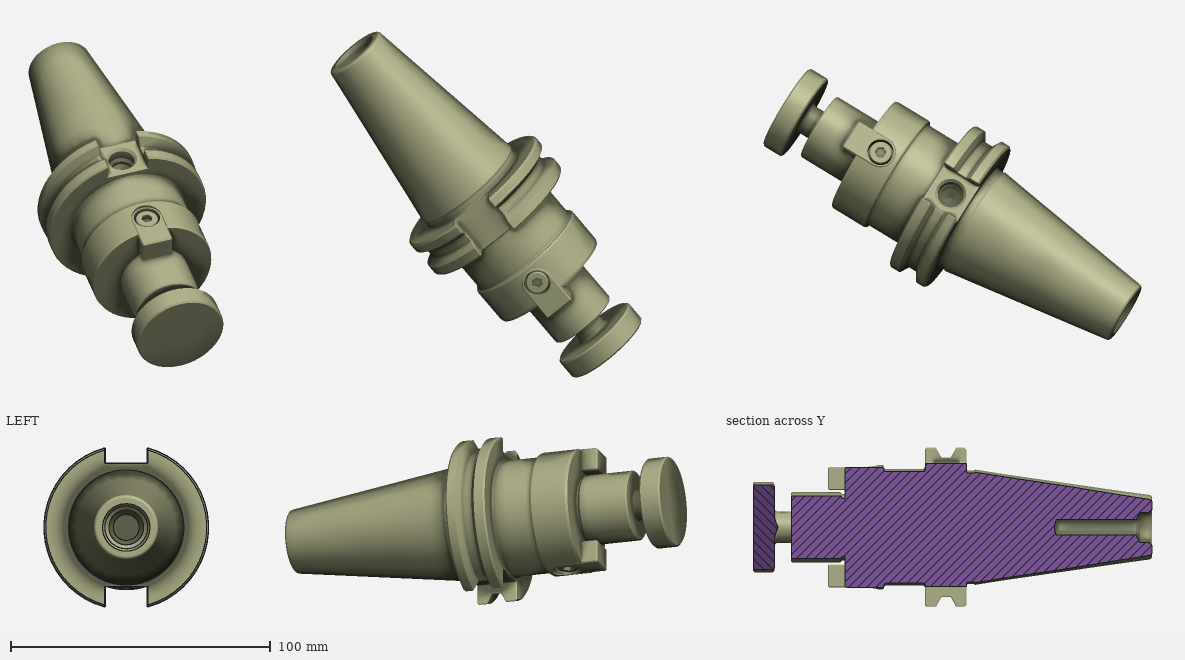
import cadquery as cq
import math

taper_length = 68.0
flange_start = 71.5
flange_width = 16.0
flange_end = flange_start + flange_width
collar_start = 103.2
collar_end = 118.5
pilot_start = 120.0
pilot_end = 139.0

taper_ratio = 7 / 24
gauge_dia = 44.4
taper_small_dia = gauge_dia - taper_length * taper_ratio
taper_end_round = 1.2
neck_dia = 43.8
neck_chamfer_length = 0.6
neck_fillet = 0.6
flange_dia = 63.5
flange_rear_chamfer = 0.8
flange_front_chamfer = 0.6
body_dia = 44.9
body_fillet = 0.8
collar_dia = 48.0
collar_rear_chamfer = 0.6
collar_front_chamfer = 1.0
collar_chamfer_height = 0.3
relief_dia = 25.5
pilot_dia = 27.0
pilot_chamfer = 0.5
pilot_rear_chamfer = 0.8

groove_flank_angle = 30
groove_centre = 79.3
groove_floor_width = 3.7
groove_floor_dia = 56.4
groove_depth = (flange_dia - groove_floor_dia) / 2
groove_top_width = groove_floor_width + 2 * groove_depth * math.tan(math.radians(groove_flank_angle))

keyway_width = 16.1
keyway_edge_chamfer = 0.3
keyway_corner_fillet = 0.5
upper_keyway_floor = 24.7
lower_keyway_floor = 22.7
selection_margin = 0.02

chip_mouth_dia = 12.0
chip_dia = 10.0
chip_depth = 4.6
chip_core_dia = 8.0
chip_core_depth = 6.9
drill_half_angle = 59

bore_mouth_dia = 18.3
bore_pilot_dia = 16.5
bore_core_dia = 13.4
bore_floor_dia = 10.0
bore_mouth_depth = 1.5
bore_pilot_depth = 4.6
bore_core_depth = 36.9

dog_sides = (1, -1)
dog_width = 12.0
dog_bottom = 14.3
dog_top = 23.2
dog_end = 124.7
dog_chamfer = 0.5
dog_screw_x = 111.0
dog_counterbore_dia = 10.1
dog_counterbore_depth = 5.5
dog_screw_head_dia = 8.5
dog_screw_head_chamfer = 0.3
dog_screw_head_gap = 0.5
dog_screw_dia = 5.0
dog_screw_tip = 6.1
dog_socket_across_flats = 3.8
dog_socket_depth = 2.3

clamp_screw_dia = 12.0
clamp_screw_tip = 115.2
clamp_fillet = 1.5
clamp_head_dia = 34.9
clamp_head_start = 145.3
clamp_head_chamfer = 0.6
overall_length = 153.6


def revolve_about_x(profile):
    """Turn a closed (x, radius) outline about the X axis."""
    return profile.close().revolve(360, (0, 0, 0), (1, 0, 0))


def vertical_cylinder(x, dia, bottom, top):
    return cq.Workplane("XY", origin=(x, 0, bottom)).circle(dia / 2).extrude(top - bottom)


def mirrored_to(side, shape):
    """Leave the shape on the +Z side, or turn it half a turn about X to the -Z side."""
    return shape if side > 0 else shape.rotate((0, 0, 0), (1, 0, 0), 180)


def make_holder_blank():
    flange_radius = flange_dia / 2
    groove_floor_left = groove_centre - groove_floor_width / 2
    groove_floor_right = groove_centre + groove_floor_width / 2
    groove_top_left = groove_centre - groove_top_width / 2
    groove_top_right = groove_centre + groove_top_width / 2
    collar_edge_radius = collar_dia / 2 - collar_chamfer_height
    blank = revolve_about_x(
        cq.Workplane("XY")
        .moveTo(0, 0)
        .lineTo(0, taper_small_dia / 2)
        .lineTo(taper_length, gauge_dia / 2)
        .lineTo(taper_length + neck_chamfer_length, neck_dia / 2)
        .lineTo(flange_start - neck_fillet, neck_dia / 2)
        .radiusArc((flange_start, neck_dia / 2 + neck_fillet), -neck_fillet)
        .lineTo(flange_start, flange_radius - flange_rear_chamfer)
        .lineTo(flange_start + flange_rear_chamfer, flange_radius)
        .lineTo(groove_top_left, flange_radius)
        .lineTo(groove_floor_left, groove_floor_dia / 2)
        .lineTo(groove_floor_right, groove_floor_dia / 2)
        .lineTo(groove_top_right, flange_radius)
        .lineTo(flange_end - flange_front_chamfer, flange_radius)
        .lineTo(flange_end, flange_radius - flange_front_chamfer)
        .lineTo(flange_end, body_dia / 2 + body_fillet)
        .radiusArc((flange_end + body_fillet, body_dia / 2), -body_fillet)
        .lineTo(collar_start - body_fillet, body_dia / 2)
        .radiusArc((collar_start, body_dia / 2 + body_fillet), -body_fillet)
        .lineTo(collar_start, collar_edge_radius)
        .lineTo(collar_start + collar_rear_chamfer, collar_dia / 2)
        .lineTo(collar_end - collar_front_chamfer, collar_dia / 2)
        .lineTo(collar_end, collar_edge_radius)
        .lineTo(collar_end, relief_dia / 2)
        .lineTo(pilot_start - pilot_rear_chamfer, relief_dia / 2)
        .lineTo(pilot_start, pilot_dia / 2)
        .lineTo(pilot_end - pilot_chamfer, pilot_dia / 2)
        .lineTo(pilot_end, pilot_dia / 2 - pilot_chamfer)
        .lineTo(pilot_end, 0)
    )
    return blank.faces("<X").edges().fillet(taper_end_round)


def draw_bolt_bore():
    floor_depth = bore_core_depth + (bore_core_dia - bore_floor_dia) / 2
    bore_step = (bore_pilot_dia - bore_core_dia) / 2
    return revolve_about_x(
        cq.Workplane("XY")
        .moveTo(0, 0)
        .lineTo(0, bore_mouth_dia / 2)
        .lineTo(bore_mouth_depth, bore_pilot_dia / 2)
        .lineTo(bore_pilot_depth, bore_pilot_dia / 2)
        .lineTo(bore_pilot_depth + bore_step, bore_core_dia / 2)
        .lineTo(bore_core_depth, bore_core_dia / 2)
        .lineTo(floor_depth, bore_floor_dia / 2)
        .lineTo(floor_depth, 0)
    )


def keyway(side, floor):
    block = cq.Workplane("XY").box(flange_width, keyway_width, flange_dia, centered=(False, True, False))
    return mirrored_to(side, block.translate((flange_start, 0, floor)))


def keyway_edges_between(low, high):
    """Select the edges that lie on the keyway walls, on both sides, between two heights."""
    wall = keyway_width / 2
    selectors = [
        cq.selectors.BoxSelector(
            (flange_start - selection_margin, y - selection_margin, low - selection_margin),
            (flange_end + selection_margin, y + selection_margin, high + selection_margin),
        )
        for y in (-wall, wall)
    ]
    return selectors[0] + selectors[1]


def finish_keyway(holder, floor, rim):
    """Break the outer edges of the keyway walls, then round the corners along the floor."""
    wall_foot = floor + math.copysign(keyway_corner_fillet, floor)
    wall_edges = keyway_edges_between(min(wall_foot, rim), max(wall_foot, rim))
    holder = holder.edges(wall_edges).chamfer(keyway_edge_chamfer)
    return holder.edges(keyway_edges_between(floor, floor)).fillet(keyway_corner_fillet)


def chip_hole():
    mouth_chamfer = (chip_mouth_dia - chip_dia) / 2
    core_chamfer = (chip_dia - chip_core_dia) / 2
    tip_depth = chip_core_depth + chip_core_dia / 2 / math.tan(math.radians(drill_half_angle))
    return (
        cq.Workplane("XZ")
        .moveTo(0, 0)
        .lineTo(chip_mouth_dia / 2, 0)
        .lineTo(chip_dia / 2, -mouth_chamfer)
        .lineTo(chip_dia / 2, -chip_depth)
        .lineTo(chip_core_dia / 2, -chip_depth - core_chamfer)
        .lineTo(chip_core_dia / 2, -chip_core_depth)
        .lineTo(0, -tip_depth)
        .close()
        .revolve(360, (0, 0, 0), (0, 1, 0))
        .translate((groove_centre, 0, upper_keyway_floor))
    )


def dog_blank(end, top):
    """Bar with one rounded end that is centred on the dog screw."""
    bar_length = end - dog_screw_x
    bar = cq.Workplane("XY").box(bar_length, dog_width, top - dog_bottom, centered=(False, True, False))
    rounded_end = vertical_cylinder(dog_screw_x, dog_width, dog_bottom, top)
    return bar.translate((dog_screw_x, 0, dog_bottom)).union(rounded_end)


def make_holder():
    holder = make_holder_blank().cut(draw_bolt_bore())
    holder = holder.cut(keyway(1, upper_keyway_floor)).cut(keyway(-1, lower_keyway_floor))
    holder = finish_keyway(holder, upper_keyway_floor, flange_dia / 2)
    holder = finish_keyway(holder, -lower_keyway_floor, -flange_dia / 2)
    holder = holder.cut(chip_hole())
    for side in dog_sides:
        slot = dog_blank(collar_end, collar_dia / 2)
        screw_hole = vertical_cylinder(dog_screw_x, dog_screw_dia, dog_screw_tip, dog_bottom)
        holder = holder.cut(mirrored_to(side, slot.union(screw_hole)))
    clamp_hole = cq.Workplane("YZ", origin=(clamp_screw_tip, 0, 0)).circle(clamp_screw_dia / 2)
    return holder.cut(clamp_hole.extrude(pilot_end - clamp_screw_tip))


def make_dog(side):
    dog = dog_blank(dog_end, dog_top).edges().chamfer(dog_chamfer)
    seat = dog_top - dog_counterbore_depth
    dog = dog.cut(vertical_cylinder(dog_screw_x, dog_counterbore_dia, seat, dog_top))
    dog = dog.cut(vertical_cylinder(dog_screw_x, dog_screw_dia, dog_bottom, seat))
    return mirrored_to(side, dog)


def make_dog_screw(side):
    seat = dog_top - dog_counterbore_depth
    head_top = dog_top - dog_screw_head_gap
    head = vertical_cylinder(dog_screw_x, dog_screw_head_dia, seat, head_top)
    head = head.faces(">Z").edges().chamfer(dog_screw_head_chamfer)
    shank = vertical_cylinder(dog_screw_x, dog_screw_dia, dog_screw_tip, seat)
    socket = (
        cq.Workplane("XY", origin=(dog_screw_x, 0, head_top))
        .polygon(6, dog_socket_across_flats, circumscribed=True)
        .extrude(-dog_socket_depth)
    )
    return mirrored_to(side, head.union(shank).cut(socket))


def make_clamp_screw():
    head_radius = clamp_head_dia / 2
    return revolve_about_x(
        cq.Workplane("XY")
        .moveTo(clamp_screw_tip, 0)
        .lineTo(clamp_screw_tip, clamp_screw_dia / 2)
        .lineTo(clamp_head_start - clamp_fillet, clamp_screw_dia / 2)
        .radiusArc((clamp_head_start, clamp_screw_dia / 2 + clamp_fillet), -clamp_fillet)
        .lineTo(clamp_head_start, head_radius - clamp_head_chamfer)
        .lineTo(clamp_head_start + clamp_head_chamfer, head_radius)
        .lineTo(overall_length - clamp_head_chamfer, head_radius)
        .lineTo(overall_length, head_radius - clamp_head_chamfer)
        .lineTo(overall_length, 0)
    )


holder = make_holder()
dogs = [make_dog(side) for side in dog_sides]
dog_screws = [make_dog_screw(side) for side in dog_sides]
clamp_screw = make_clamp_screw()

result = cq.Compound.makeCompound(
    [
        holder.val(),
        *[dog.val() for dog in dogs],
        *[screw.val() for screw in dog_screws],
        clamp_screw.val(),
    ]
)